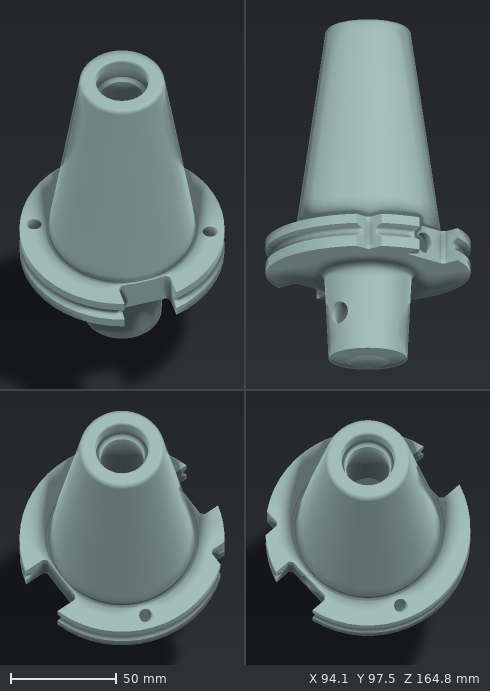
import cadquery as cq
import math


gauge_radius = 34.925
taper_length = 101.75
taper_slope = 7 / 48
taper_top_radius = gauge_radius - taper_slope * taper_length
taper_rim_fillet = 2.5

gauge_land = 0.6
neck_radius = 34.75
neck_top_z = -1.9
relief_depth = 0.5
relief_floor_radius = 35.9
relief_rim_radius = 36.4

flange_radius = 48.75
flange_top_z = -3.2
flange_thickness = 15.9
flange_bottom_z = flange_top_z - flange_thickness
relief_floor_z = flange_top_z - relief_depth

groove_z = -11.0
groove_mouth_half_width = 3.3
groove_floor_radius = 45.6
groove_flank_angle = math.radians(30)
groove_floor_fillet = 1.0

nose_z = -63.0
shank_top_radius = 20.85
shank_bottom_radius = 18.8
shank_bottom_z = -61.0
shank_root_fillet = 3.0
collar_radius = 10.6
collar_z = -62.2
nose_radius = 8.85

slot_width = 25.7
slot_corner_chamfer = 1.6
left_slot_x = -37.7
right_slot_x = 35.5
notch_x = -30.0
notch_y = 30.0
notch_corner_fillet = 2.0

seat_radius = 5.0
seat_z = flange_top_z - flange_thickness / 2
seat_depth = 4.2
seat_pilot_radius = 0.5
seat_pilot_depth = 1.0

coolant_radius = 3.2
coolant_circle_radius = 42.0
coolant_angles = (70, 250)
coolant_tilt = math.radians(28)
coolant_depth = 16.0

pilot_radius = 12.5
pilot_depth = 11.5
pilot_rim_fillet = 1.4
thread_radius = 10.4
thread_depth = 60.0
shoulder_angle = math.radians(60)
drill_point_angle = math.radians(59)

screw_radius = 5.25
screw_z = -42.0
screw_depth = 10.0

tolerance = 0.01
overrun = 5.0


def revolve(points):
    """Turn a closed (radius, z) outline about the Z axis."""
    profile = cq.Workplane("XZ").polyline(points).close()
    return profile.revolve(360, (0, 0, 0), (0, 1, 0))


def ring_edge(radius, z):
    """Selector for the circular edge of the given radius and height."""
    def box(half_side):
        low = (-half_side, -half_side, z - tolerance)
        high = (half_side, half_side, z + tolerance)
        return cq.selectors.BoxSelector(low, high, boundingbox=True)

    return box(radius + tolerance) - box(radius - tolerance)


def make_taper_and_neck():
    taper = revolve([
        (0, taper_length),
        (taper_top_radius, taper_length),
        (gauge_radius, 0),
        (gauge_radius, -gauge_land),
        (neck_radius, neck_top_z),
        (neck_radius, relief_floor_z),
        (0, relief_floor_z),
    ])
    return taper.edges(ring_edge(taper_top_radius, taper_length)).fillet(taper_rim_fillet)


def make_flange_and_shank():
    body = revolve([
        (0, flange_top_z),
        (flange_radius, flange_top_z),
        (flange_radius, flange_bottom_z),
        (shank_top_radius, flange_bottom_z),
        (shank_bottom_radius, shank_bottom_z),
        (collar_radius, collar_z),
        (nose_radius, nose_z),
        (0, nose_z),
    ])
    return body.edges(ring_edge(shank_top_radius, flange_bottom_z)).fillet(shank_root_fillet)


def make_neck_relief():
    return revolve([
        (neck_radius, flange_top_z),
        (relief_rim_radius, flange_top_z),
        (relief_floor_radius, relief_floor_z),
        (neck_radius, relief_floor_z),
    ])


def make_groove():
    flank_rise = math.tan(groove_flank_angle)
    floor_half_width = groove_mouth_half_width - (flange_radius - groove_floor_radius) * flank_rise
    open_radius = flange_radius + overrun
    open_half_width = groove_mouth_half_width + overrun * flank_rise
    groove = revolve([
        (groove_floor_radius, groove_z + floor_half_width),
        (open_radius, groove_z + open_half_width),
        (open_radius, groove_z - open_half_width),
        (groove_floor_radius, groove_z - floor_half_width),
    ])
    for side in (1, -1):
        floor_edge = ring_edge(groove_floor_radius, groove_z + side * floor_half_width)
        groove = groove.edges(floor_edge).fillet(groove_floor_fillet)
    return groove


def make_flange_block(x_inner, x_outer, y_low, y_high):
    """Rectangular cutter reaching through the full flange thickness."""
    return (
        cq.Workplane("XY", origin=(0, 0, flange_bottom_z))
        .moveTo(x_inner, y_low)
        .lineTo(x_outer, y_low)
        .lineTo(x_outer, y_high)
        .lineTo(x_inner, y_high)
        .close()
        .extrude(flange_thickness)
    )


def make_drive_slot(floor_x):
    outer_x = math.copysign(flange_radius + overrun, floor_x)
    floor_edges = "|Z and <X" if floor_x > 0 else "|Z and >X"
    slot = make_flange_block(floor_x, outer_x, -slot_width / 2, slot_width / 2)
    return slot.edges(floor_edges).chamfer(slot_corner_chamfer)


def make_notch():
    reach = flange_radius + overrun
    notch = make_flange_block(notch_x, -reach, notch_y, reach)
    return notch.edges("|Z and >X and <Y").fillet(notch_corner_fillet)


def make_slot_seat():
    start = cq.Vector(left_slot_x - overrun, 0, seat_z)
    inward = cq.Vector(1, 0, 0)
    seat_length = overrun + seat_depth
    seat = cq.Solid.makeCylinder(seat_radius, seat_length, start, inward)
    pilot = cq.Solid.makeCylinder(seat_pilot_radius, seat_length + seat_pilot_depth, start, inward)
    return cq.Workplane(seat).union(cq.Workplane(pilot))


def make_coolant_hole(angle_degrees):
    angle = math.radians(angle_degrees)
    outward = cq.Vector(math.cos(angle), math.sin(angle), 0)
    up = cq.Vector(0, 0, 1)
    entry = outward * coolant_circle_radius + up * flange_top_z
    downward = outward * -math.sin(coolant_tilt) - up * math.cos(coolant_tilt)
    start = entry - downward * overrun
    return cq.Workplane(
        cq.Solid.makeCylinder(coolant_radius, coolant_depth + overrun, start, downward)
    )


def make_drawbar_bore():
    shoulder_z = taper_length - pilot_depth
    shoulder_drop = (pilot_radius - thread_radius) / math.tan(shoulder_angle)
    thread_end_z = taper_length - thread_depth
    point_z = thread_end_z - thread_radius / math.tan(drill_point_angle)
    return revolve([
        (0, taper_length),
        (pilot_radius, taper_length),
        (pilot_radius, shoulder_z),
        (thread_radius, shoulder_z - shoulder_drop),
        (thread_radius, thread_end_z),
        (0, point_z),
    ])


def make_screw_hole():
    start = cq.Vector(0, shank_top_radius + overrun, screw_z)
    return cq.Workplane(
        cq.Solid.makeCylinder(screw_radius, screw_depth + overrun, start, cq.Vector(0, -1, 0))
    )


holder = make_flange_and_shank().cut(make_neck_relief()).union(make_taper_and_neck())
holder = holder.cut(make_drawbar_bore())
holder = holder.edges(ring_edge(pilot_radius, taper_length)).fillet(pilot_rim_fillet)
holder = holder.cut(make_groove())
for slot_x in (left_slot_x, right_slot_x):
    holder = holder.cut(make_drive_slot(slot_x))
holder = holder.cut(make_notch())
holder = holder.cut(make_slot_seat())
for hole_angle in coolant_angles:
    holder = holder.cut(make_coolant_hole(hole_angle))
holder = holder.cut(make_screw_hole())

result = holder